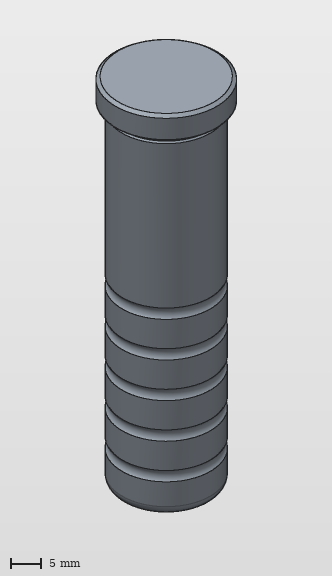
import cadquery as cq

total_length = 80.0
body_radius = 10.0
tip_fillet = 2.0

head_radius = 11.5
head_height = 5.0
head_top_chamfer = 0.7
head_top_chamfer_height = 0.5
head_bottom_chamfer = 0.3

neck_radius = 9.7
neck_height = 1.5

groove_count = 5
groove_pitch = 8.0
groove_depth = 0.5
groove_arc_radius = 1.5

head_bottom_z = total_length - head_height
neck_bottom_z = head_bottom_z - neck_height
shoulder_chamfer = body_radius - neck_radius
groove_half_width = (groove_arc_radius**2 - (groove_arc_radius - groove_depth) ** 2) ** 0.5
groove_root_radius = body_radius - groove_depth
diagonal = 0.5**0.5


def add_groove(profile, root_z):
    """Extend the profile upward through one groove, a single arc through its root."""
    return profile.lineTo(-body_radius, root_z - groove_half_width).threePointArc(
        (-groove_root_radius, root_z), (-body_radius, root_z + groove_half_width)
    )


def add_tip(profile):
    """Flat end and rounded edge at the bottom of the pin."""
    flat_radius = body_radius - tip_fillet
    arc_middle = (-flat_radius - tip_fillet * diagonal, tip_fillet * (1 - diagonal))
    return profile.lineTo(-flat_radius, 0).threePointArc(arc_middle, (-body_radius, tip_fillet))


def add_neck(profile):
    """Conical 45 degree body shoulder and the undercut up to the head."""
    return (
        profile.lineTo(-body_radius, neck_bottom_z)
        .lineTo(-neck_radius, neck_bottom_z + shoulder_chamfer)
        .lineTo(-neck_radius, head_bottom_z)
    )


def add_head(profile):
    """Flanged head with both rims chamfered."""
    return (
        profile.lineTo(-head_radius + head_bottom_chamfer, head_bottom_z)
        .lineTo(-head_radius, head_bottom_z + head_bottom_chamfer)
        .lineTo(-head_radius, total_length - head_top_chamfer_height)
        .lineTo(-head_radius + head_top_chamfer, total_length)
        .lineTo(0, total_length)
    )


half_section = add_tip(cq.Workplane("XZ").moveTo(0, 0))
for index in range(groove_count):
    half_section = add_groove(half_section, (index + 1) * groove_pitch)
half_section = add_neck(half_section)
half_section = add_head(half_section)

result = half_section.close().revolve(360, (0, 0), (0, 1))